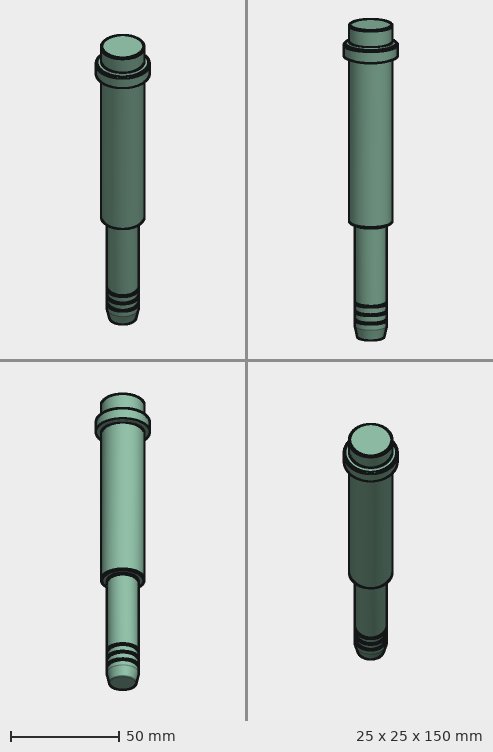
import cadquery as cq

total_length = 150.0
body_diameter = 20.2
collar_diameter = 25.0
pilot_diameter = 15.0

body_bottom = 55.0
collar_bottom = 135.0
collar_top = 141.0

edge_chamfer = 0.6
collar_chamfer = 0.8

groove_width = 0.9
pilot_relief_depth = 0.3
ring_groove_count = 3
ring_groove_pitch = 4.0
lowest_ring_bottom = 8.1

tip_length = 5.4
tip_diameter = 12.6
tip_fillet = 0.5


def cylinder(diameter, bottom, top):
    """Solid cylinder on the Z axis between two heights."""
    return cq.Workplane("XY").workplane(offset=bottom).circle(diameter / 2).extrude(top - bottom)


def square_groove(diameter, bottom):
    """Square-section ring cutter for a shaft of the given diameter."""
    outer = cylinder(diameter + 2 * pilot_relief_depth, bottom, bottom + groove_width)
    core = cylinder(diameter - 2 * pilot_relief_depth, bottom, bottom + groove_width)
    return outer.cut(core)


def round_groove(diameter, bottom):
    """Ring cutter of circular section, centred on the shaft surface."""
    return (
        cq.Workplane("XZ")
        .center(diameter / 2, bottom + groove_width / 2)
        .circle(groove_width / 2)
        .revolve(360, (-diameter / 2, 0, 0), (-diameter / 2, 1, 0))
    )


tip = (
    cq.Workplane("XY")
    .circle(tip_diameter / 2)
    .workplane(offset=tip_length)
    .circle(pilot_diameter / 2)
    .loft(ruled=True)
    .faces("<Z")
    .edges()
    .fillet(tip_fillet)
)

pilot = cylinder(pilot_diameter, tip_length, body_bottom)
pilot = pilot.cut(square_groove(pilot_diameter, body_bottom - groove_width))
for index in range(ring_groove_count):
    pilot = pilot.cut(round_groove(pilot_diameter, lowest_ring_bottom + index * ring_groove_pitch))

body = cylinder(body_diameter, body_bottom, total_length)
body = body.faces("<Z or >Z").edges().chamfer(edge_chamfer)
for relief_bottom in (collar_bottom - groove_width, collar_top):
    body = body.cut(round_groove(body_diameter, relief_bottom))

collar = cylinder(collar_diameter, collar_bottom, collar_top)
collar = collar.faces(">Z").edges().chamfer(collar_chamfer)

result = tip.union(pilot).union(body).union(collar)